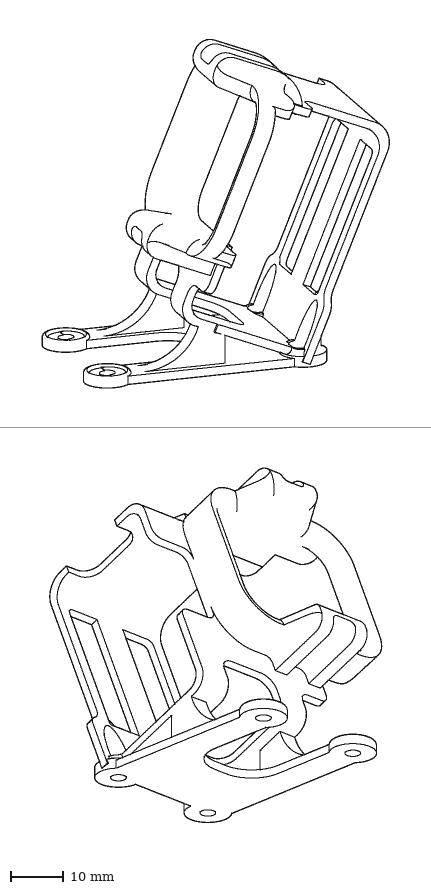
import cadquery as cq
import math


LEAN = 22.5
CAGE_Y, CAGE_Z = 39.65, 0.5
WALL = 1.65

CAGE_DEPTH, CAGE_HEIGHT = 28.3, 48.4
CAGE_HALF = 13.9
BACK_TOP_RADIUS, BACK_TOP_INNER_RADIUS = 4.7, 4.4
FRONT_RADIUS, FRONT_INNER_RADIUS = 3.75, 3.0

TAB_X = 21.8
TAB_BOTTOM, TAB_BACK = 7.85, 20.85
FILLER_FRONT_X = -1.9
STEP_RADIUS = 2.2

RING_LEFT, RING_RIGHT = -4.2, 33.6
RING_BOTTOM, RING_TOP = 14.95, 49.95
RING_BAND = 3.3
RING_DEPTH = 8.25
RING_RADIUS = 8.2
RING_ROUND = 3.2
RING_FRONT = CAGE_DEPTH + RING_DEPTH
RING_MID_X = (RING_LEFT + RING_RIGHT) / 2
SIDE_BAR_DEPTH = 4.05
SIDE_BAR_ROUND = 1.0
SKIRT_X = RING_RIGHT - RING_BAND
SKIRT_RADIUS = 2.4

TONGUE_FRONT = 43.3
TONGUE_ROOT_HALF, TONGUE_TIP_HALF = 9.9, 6.0
PRONG_WIDTH = 3.1
PRONG_HEIGHT = 3.5
PRONG_TIP_RADIUS = 3.0
PRONG_ROOT_RADIUS = 1.45
PRONG_BACK = 23.35
PRONG_BACK_RADIUS = 8.85

SCREW_X, SCREW_Y = 12.0, 39.8
PAD_RADIUS = 4.6
PLATE = 1.7
ARM_WIDTH = 7.0
TUBE = PAD_RECESS = ARM_WIDTH
SCREW_HOLE, HEAD_BORE = 3.0, 5.5
SEAT_Z = 1.6
PAD_TOP, PAD_ROUND = 2.2, 0.65
REAR_PAD_EDGE = 2.15
REAR_FLARE = PAD_RADIUS - TUBE / 2
TUBE_TOP = 16.4
CROTCH_Y, CROTCH_RADIUS = 24.0, 6.95


TOUCHING = 0.0005
CLEAR = 0.65


def outline(plane, corners):
    """Closed outline of (a, b, radius) corners; each non-zero radius becomes a tangent arc."""
    path = plane
    last_end = None
    for i, (a, b, radius) in enumerate(corners):
        following = corners[(i + 1) % len(corners)]
        here = cq.Vector(a, b)
        to_last = (cq.Vector(*corners[i - 1][:2]) - here).normalized()
        to_next = (cq.Vector(*following[:2]) - here).normalized()
        half = to_last.getAngle(to_next) / 2
        setback = radius / math.tan(half) if radius else 0
        start = here + to_last * setback
        if last_end is None:
            path = path.moveTo(start.x, start.y)
        elif (start - last_end).Length > TOUCHING:
            path = path.lineTo(start.x, start.y)
        last_end = start
        if radius:
            bisector = (to_last + to_next).normalized()
            middle = here + bisector * (radius / math.sin(half) - radius)
            last_end = here + to_next * setback
            path = path.threePointArc((middle.x, middle.y), (last_end.x, last_end.y))
    return path.close()


def sharp(points):
    return [(a, b, 0) for a, b in points]


def side_plane(x):
    """Drawing axes: forward and up; extrudes toward -X."""
    return cq.Workplane(cq.Plane((x, 0, 0), (0, -1, 0), (-1, 0, 0)))


def side_prism(corners, x_min, x_max):
    return outline(side_plane(x_max), corners).extrude(x_max - x_min)


def front_prism(corners, back, front):
    """Corners in X and Z, extruded between two forward distances."""
    plane = cq.Workplane("XZ", origin=(0, -back, 0))
    return outline(plane, corners).extrude(front - back)


def roof_prism(corners, bottom, top):
    """Corners in X and forward distance, extruded between two heights."""
    plane = cq.Workplane(cq.Plane((0, 0, top), (1, 0, 0), (0, 0, -1)))
    return outline(plane, corners).extrude(top - bottom)


def rectangle(a_min, b_min, a_max, b_max, radius=0.0):
    return [(a_min, b_min, radius), (a_max, b_min, radius), (a_max, b_max, radius), (a_min, b_max, radius)]


def both_sides(solid):
    return solid.union(solid.mirror("YZ"))


def cage_cavity(x_min, x_max):
    corners = [
        (WALL, WALL, 0),
        (CAGE_DEPTH - WALL, WALL, FRONT_INNER_RADIUS),
        (CAGE_DEPTH - WALL, CAGE_HEIGHT - WALL, FRONT_INNER_RADIUS),
        (WALL, CAGE_HEIGHT - WALL, BACK_TOP_INNER_RADIUS),
    ]
    return side_prism(corners, x_min, x_max)


def cage_walls():
    corners = [
        (0, 0, 0),
        (CAGE_DEPTH, 0, FRONT_RADIUS),
        (CAGE_DEPTH, CAGE_HEIGHT, FRONT_RADIUS),
        (0, CAGE_HEIGHT, BACK_TOP_RADIUS),
    ]
    block = side_prism(corners, -CAGE_HALF, TAB_X)
    return block.cut(tab_step(TAB_BACK, roof_prism, -CLEAR, CAGE_HEIGHT + CLEAR)).cut(
        tab_step(TAB_BOTTOM, front_prism, TAB_BACK - CLEAR, CAGE_DEPTH + CLEAR)
    )


def tab_step(edge, prism, start, end):
    """What is cut away beside the cage so that only the tab reaches out to TAB_X."""
    beyond = TAB_X + CLEAR
    corners = [
        (CAGE_HALF, -CLEAR, 0),
        (beyond, -CLEAR, 0),
        (beyond, edge + STEP_RADIUS, 0),
        (TAB_X, edge + STEP_RADIUS, 0),
        (TAB_X, edge, STEP_RADIUS),
        (CAGE_HALF, edge, STEP_RADIUS),
    ]
    return prism(corners, start, end)


def corner_filler():
    """Squares off the upper front corner of the cage behind the lens ring."""
    filler_back = CAGE_DEPTH - FRONT_RADIUS
    corners = sharp([
        (RING_LEFT, filler_back),
        (FILLER_FRONT_X, CAGE_DEPTH),
        (TAB_X, CAGE_DEPTH),
        (TAB_X, filler_back),
    ])
    return roof_prism(corners, CAGE_HEIGHT - FRONT_RADIUS, CAGE_HEIGHT)


ROOF_WINDOW_BACK, ROOF_WINDOW_X, ROOF_WINDOW_RADIUS = 6.55, -7.8, 3.3
SIDE_GAP_BOTTOM, SIDE_GAP_TOP = 19.6, 37.9
NOTCH_HALF, NOTCH_BACK, NOTCH_TOP, NOTCH_RADIUS = 7.0, 10.75, 9.0, 3.1
BACK_WINDOW_INNER, BACK_WINDOW_OUTER = 3.5, 11.3
BACK_WINDOW_BOTTOM, BACK_WINDOW_TOP, BACK_WINDOW_RADIUS = 12.1, 42.5, 1.3


def roof_window():
    corners = [
        (-CAGE_HALF - CLEAR, ROOF_WINDOW_BACK, 0),
        (ROOF_WINDOW_X, ROOF_WINDOW_BACK, ROOF_WINDOW_RADIUS),
        (ROOF_WINDOW_X, TAB_BACK, ROOF_WINDOW_RADIUS),
        (-CAGE_HALF - CLEAR, TAB_BACK, 0),
    ]
    return roof_prism(corners, CAGE_HEIGHT - WALL - CLEAR, CAGE_HEIGHT + CLEAR)


def side_gap():
    """Opening in the front wall between its upper lip and its lower part, left of the ring."""
    r = STEP_RADIUS
    corners = [
        (-CAGE_HALF - CLEAR, SIDE_GAP_BOTTOM - r, 0),
        (-CAGE_HALF, SIDE_GAP_BOTTOM - r, 0),
        (-CAGE_HALF, SIDE_GAP_BOTTOM, r),
        (RING_LEFT, SIDE_GAP_BOTTOM, r),
        (RING_LEFT, SIDE_GAP_TOP, r),
        (-CAGE_HALF, SIDE_GAP_TOP, r),
        (-CAGE_HALF, SIDE_GAP_TOP + r, 0),
        (-CAGE_HALF - CLEAR, SIDE_GAP_TOP + r, 0),
    ]
    return front_prism(corners, CAGE_DEPTH - WALL - CLEAR, CAGE_DEPTH + CLEAR)


def front_notch():
    """Notch that runs round the lower front corner, through front wall and floor."""
    through_wall = front_prism(
        [
            (-NOTCH_HALF, -CLEAR, 0),
            (NOTCH_HALF, -CLEAR, 0),
            (NOTCH_HALF, NOTCH_TOP, NOTCH_RADIUS),
            (-NOTCH_HALF, NOTCH_TOP, NOTCH_RADIUS),
        ],
        CAGE_DEPTH - FRONT_RADIUS,
        CAGE_DEPTH + CLEAR,
    )
    through_floor = roof_prism(
        [
            (-NOTCH_HALF, NOTCH_BACK, NOTCH_RADIUS),
            (NOTCH_HALF, NOTCH_BACK, NOTCH_RADIUS),
            (NOTCH_HALF, CAGE_DEPTH, 0),
            (-NOTCH_HALF, CAGE_DEPTH, 0),
        ],
        -CLEAR,
        FRONT_RADIUS,
    )
    return through_wall.union(through_floor)


def back_windows():
    corners = [
        (BACK_WINDOW_INNER, BACK_WINDOW_BOTTOM, 0),
        (BACK_WINDOW_OUTER, BACK_WINDOW_BOTTOM, BACK_WINDOW_RADIUS),
        (BACK_WINDOW_OUTER, BACK_WINDOW_TOP, BACK_WINDOW_RADIUS),
        (BACK_WINDOW_INNER, BACK_WINDOW_TOP, 0),
    ]
    return both_sides(front_prism(corners, -CLEAR, WALL + CLEAR))


EAR_HALF = SCREW_X + PAD_RADIUS
EAR_STRAIGHT_TOP, EAR_TOP = 10.2, 14.8


def ears():
    rise = EAR_TOP - EAR_STRAIGHT_TOP
    run = EAR_HALF - CAGE_HALF
    bend = 2 * math.atan(run / rise)
    radius = rise / (2 * math.sin(bend))
    middle = ((EAR_HALF + CAGE_HALF) / 2, (EAR_TOP + EAR_STRAIGHT_TOP) / 2)
    sag = radius * (1 - math.cos(bend / 2))
    lift = radius * math.sin(bend / 2)
    profile = (
        cq.Workplane("XZ")
        .lineTo(EAR_HALF, 0)
        .lineTo(EAR_HALF, EAR_STRAIGHT_TOP)
        .threePointArc((EAR_HALF - sag, EAR_STRAIGHT_TOP + lift), middle)
        .threePointArc((CAGE_HALF + sag, EAR_TOP - lift), (CAGE_HALF, EAR_TOP))
        .lineTo(0, EAR_TOP)
        .close()
    )
    return both_sides(profile.extrude(WALL))


def tongue_outline():
    return sharp([
        (RING_MID_X - TONGUE_ROOT_HALF, CAGE_DEPTH),
        (RING_MID_X + TONGUE_ROOT_HALF, CAGE_DEPTH),
        (RING_MID_X + TONGUE_ROOT_HALF, RING_FRONT),
        (RING_MID_X + TONGUE_TIP_HALF, TONGUE_FRONT),
        (RING_MID_X - TONGUE_TIP_HALF, TONGUE_FRONT),
        (RING_MID_X - TONGUE_ROOT_HALF, RING_FRONT),
    ])


def ring_opening(back, front):
    corners = rectangle(
        RING_LEFT + RING_BAND,
        RING_BOTTOM + RING_BAND,
        RING_RIGHT - RING_BAND,
        RING_TOP - RING_BAND,
        RING_RADIUS - RING_BAND,
    )
    return front_prism(corners, back, front)


def lens_ring():
    outer = rectangle(RING_LEFT, RING_BOTTOM, RING_RIGHT, RING_TOP, RING_RADIUS)
    ring = front_prism(outer, CAGE_DEPTH, RING_FRONT)
    ring = ring.union(roof_prism(tongue_outline(), RING_BOTTOM, RING_TOP))
    ring = ring.cut(ring_opening(CAGE_DEPTH, TONGUE_FRONT))
    around = 0.05
    inner_front_edges = cq.selectors.BoxSelector(
        (RING_LEFT + RING_BAND - around, -RING_FRONT + around, RING_BOTTOM + RING_BAND - around),
        (RING_RIGHT - RING_BAND + around, -TONGUE_FRONT - around, RING_TOP - RING_BAND + around),
    )
    ring = ring.edges(inner_front_edges).fillet(RING_ROUND)
    bar_back = RING_FRONT - SIDE_BAR_DEPTH
    bar_relief = roof_prism(
        [
            (SKIRT_X - SKIRT_RADIUS, CAGE_DEPTH - CLEAR, 0),
            (RING_RIGHT + CLEAR, CAGE_DEPTH - CLEAR, 0),
            (RING_RIGHT + CLEAR, bar_back, 0),
            (SKIRT_X, bar_back, 0),
            (SKIRT_X, CAGE_DEPTH, SKIRT_RADIUS),
            (SKIRT_X - SKIRT_RADIUS, CAGE_DEPTH, 0),
        ],
        RING_BOTTOM - CLEAR,
        RING_TOP + CLEAR,
    )
    square_corners = front_prism(
        rectangle(RING_MID_X, RING_BOTTOM + RING_BAND, RING_RIGHT + CLEAR, RING_TOP - RING_BAND),
        CAGE_DEPTH,
        bar_back,
    )
    ring = ring.cut(bar_relief).cut(square_corners)
    outer_back_edges = cq.selectors.BoxSelector(
        (SKIRT_X + around, -bar_back - around, RING_BOTTOM),
        (RING_RIGHT + around, -bar_back + around, RING_TOP),
    )
    return ring.edges(outer_back_edges).edges(">X").fillet(SIDE_BAR_ROUND)


PRONG_LEFTS = (RING_MID_X - TONGUE_TIP_HALF, RING_MID_X + TONGUE_TIP_HALF - PRONG_WIDTH)
PRONG_TOP = RING_TOP + PRONG_HEIGHT
PRONG_BOTTOM = RING_BOTTOM - PRONG_HEIGHT


def lower_prong_sides():
    """Side shape of the lower prongs, as wide as the lens ring."""
    corners = [
        (CAGE_DEPTH, PRONG_BOTTOM, 0),
        (TONGUE_FRONT, PRONG_BOTTOM, PRONG_TIP_RADIUS),
        (TONGUE_FRONT, RING_BOTTOM, 0),
        (CAGE_DEPTH, RING_BOTTOM, 0),
    ]
    return side_prism(corners, RING_LEFT, RING_RIGHT)


def upper_prong_sides():
    """Side shape of the upper prongs: a rounded tip and a heel curving down onto the roof."""
    heel_rise = PRONG_TOP - CAGE_HEIGHT
    heel_end = PRONG_BACK + math.sqrt(PRONG_BACK_RADIUS**2 - (PRONG_BACK_RADIUS - heel_rise) ** 2)
    tip = PRONG_TIP_RADIUS
    embedded = CAGE_HEIGHT - WALL / 2
    profile = (
        side_plane(RING_RIGHT)
        .moveTo(PRONG_BACK, embedded)
        .lineTo(PRONG_BACK, CAGE_HEIGHT)
        .radiusArc((heel_end, PRONG_TOP), PRONG_BACK_RADIUS)
        .lineTo(TONGUE_FRONT - tip, PRONG_TOP)
        .radiusArc((TONGUE_FRONT, PRONG_TOP - tip), tip)
        .lineTo(TONGUE_FRONT, RING_TOP)
        .lineTo(CAGE_DEPTH, RING_TOP)
        .lineTo(CAGE_DEPTH, embedded)
        .close()
    )
    return profile.extrude(RING_RIGHT - RING_LEFT)


def prong_pair(sides, root_z, tip_z):
    """Two prongs cut from `sides`, with hollow fillets where they leave the tongue at root_z."""
    over_tongue = roof_prism(tongue_outline(), min(root_z, tip_z), max(root_z, tip_z))
    flare = PRONG_ROOT_RADIUS
    pair = None
    for left in PRONG_LEFTS:
        right = left + PRONG_WIDTH
        straight = front_prism(rectangle(left, PRONG_BOTTOM, right, PRONG_TOP), PRONG_BACK, TONGUE_FRONT)
        flared_section = [
            (left - flare, root_z, 0),
            (left, root_z, flare),
            (left, tip_z, 0),
            (right, tip_z, 0),
            (right, root_z, flare),
            (right + flare, root_z, 0),
        ]
        flared = front_prism(flared_section, CAGE_DEPTH, TONGUE_FRONT).intersect(over_tongue)
        prong = sides.intersect(straight.union(flared))
        pair = pair.union(prong) if pair else prong
    return pair


def upright_cage():
    body = cage_walls().union(corner_filler()).union(ears())
    body = body.cut(cage_cavity(-EAR_HALF, TAB_X + CLEAR))
    for opening in (roof_window(), side_gap(), front_notch(), back_windows()):
        body = body.cut(opening)
    body = body.cut(ring_opening(CAGE_DEPTH - FRONT_RADIUS, CAGE_DEPTH))
    body = body.union(lens_ring())
    body = body.union(prong_pair(lower_prong_sides(), RING_BOTTOM, PRONG_BOTTOM))
    return body.union(prong_pair(upper_prong_sides(), RING_TOP, PRONG_TOP))


def lean(solid):
    return solid.rotate((0, 0, 0), (1, 0, 0), -LEAN).translate((0, CAGE_Y, CAGE_Z))


def cylinder(x, y, diameter, bottom, top):
    return cq.Workplane(origin=(x, y, bottom)).circle(diameter / 2).extrude(top - bottom)


def foot_plate():
    arm_outer = SCREW_X + ARM_WIDTH / 2
    arm_inner = SCREW_X - ARM_WIDTH / 2
    corners = [
        (-arm_outer, 0, 0),
        (-arm_inner, 0, 0),
        (-arm_inner, CROTCH_Y, CROTCH_RADIUS),
        (arm_inner, CROTCH_Y, CROTCH_RADIUS),
        (arm_inner, 0, 0),
        (arm_outer, 0, 0),
        (arm_outer, SCREW_Y, 0),
        (-arm_outer, SCREW_Y, 0),
    ]
    return outline(cq.Workplane(), corners).extrude(PLATE)


def turned(section):
    """Revolves a closed section round its own vertical axis."""
    return section.close().revolve(360, (0, 0, 0), (0, 1, 0))


def front_pad():
    """Pad with a rounded rim and a shallow conical recess."""
    rim_radius = PAD_RADIUS - PAD_ROUND
    section = (
        cq.Workplane("XZ", origin=(SCREW_X, 0, 0))
        .lineTo(PAD_RADIUS, 0)
        .lineTo(PAD_RADIUS, PAD_TOP - PAD_ROUND)
        .radiusArc((rim_radius, PAD_TOP), -PAD_ROUND)
        .lineTo(PAD_RECESS / 2, SEAT_Z)
        .lineTo(0, SEAT_Z)
    )
    return turned(section)


LEG_WIDTH = 4.0
LEG_BACK_Y, LEG_ARC_Y, LEG_ARC_RADIUS = 23.3, 7.0, 11.4
LEG_ARC_TOP = 10.15


def leg():
    arc_centre_z = PLATE + LEG_ARC_RADIUS
    arc_top_y = LEG_ARC_Y + math.sqrt(LEG_ARC_RADIUS**2 - (arc_centre_z - LEG_ARC_TOP) ** 2)
    floor_back_z = CAGE_Z + (CAGE_Y - LEG_BACK_Y) * math.tan(math.radians(LEAN)) + WALL / 2
    return (
        cq.Workplane("YZ", origin=(CAGE_HALF - LEG_WIDTH, 0, 0))
        .moveTo(LEG_ARC_Y, PLATE / 2)
        .lineTo(LEG_ARC_Y, PLATE)
        .radiusArc((arc_top_y, LEG_ARC_TOP), -LEG_ARC_RADIUS)
        .lineTo(LEG_BACK_Y, floor_back_z)
        .lineTo(LEG_BACK_Y, PLATE / 2)
        .close()
        .extrude(LEG_WIDTH)
    )


def rear_tower():
    """Pad that flares into a tube; the tube runs up into the back wall of the cage."""
    flare_top = REAR_PAD_EDGE + REAR_FLARE
    section = (
        cq.Workplane("XZ", origin=(SCREW_X, SCREW_Y, 0))
        .lineTo(PAD_RADIUS, 0)
        .lineTo(PAD_RADIUS, REAR_PAD_EDGE)
        .radiusArc((TUBE / 2, flare_top), REAR_FLARE)
        .lineTo(0, flare_top)
    )
    tube = cylinder(SCREW_X, SCREW_Y, TUBE, 0, TUBE_TOP)
    return turned(section).union(tube.cut(lean(cage_cavity(-EAR_HALF, EAR_HALF))))


foot = foot_plate()
for part in (front_pad(), leg(), rear_tower()):
    foot = foot.union(both_sides(part))

result = foot.union(lean(upright_cage()))
for x in (-SCREW_X, SCREW_X):
    result = result.cut(cylinder(x, SCREW_Y, HEAD_BORE, SEAT_Z, TUBE_TOP))
    for y in (0, SCREW_Y):
        result = result.cut(cylinder(x, y, SCREW_HOLE, -CLEAR, PAD_TOP + CLEAR))